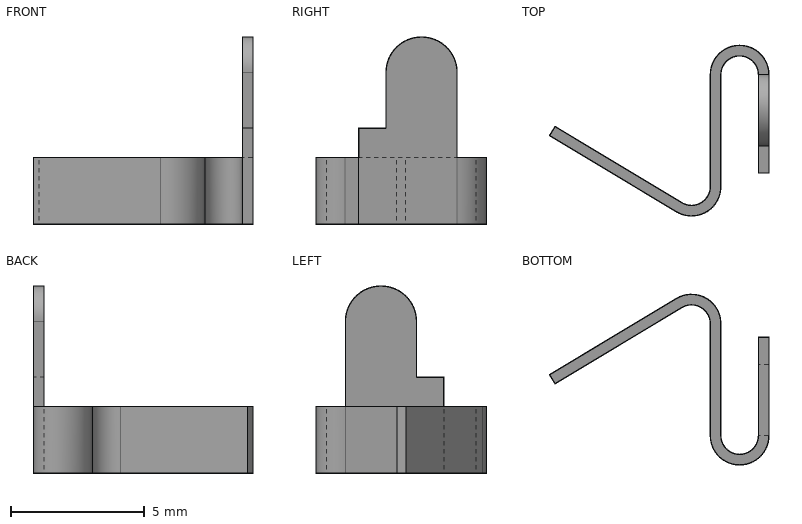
import cadquery as cq
import math

total_length = 8.2
thickness = 0.4
strip_height = 2.5
bend_radius = 1.1
web_length = 4.18
arm_angle = 31.0

plate_length = 3.68
plate_height = 3.6
tab_width = 2.665
tab_height = 7.0

inner_radius = bend_radius - thickness
upper_center_x = total_length - bend_radius
plate_inner_x = total_length - thickness
web_left_x = total_length - 2 * bend_radius
web_right_x = web_left_x + thickness
lower_center_x = web_right_x - bend_radius
lower_center_y = -web_length

angle = math.radians(arm_angle)
arm_x, arm_y = -math.cos(angle), math.sin(angle)
outward_x, outward_y = -math.sin(angle), -math.cos(angle)
arm_length = (lower_center_x + bend_radius * outward_x) / math.cos(angle)


def arm_point(radius, distance):
    """Point on the arm face tangent to the lower bend at the given radius."""
    return (
        lower_center_x + radius * outward_x + distance * arm_x,
        lower_center_y + radius * outward_y + distance * arm_y,
    )


def lower_bend_middle(radius):
    """Middle point of the lower bend, between the web and the arm."""
    middle = math.atan2(outward_y, outward_x) / 2
    return (
        lower_center_x + radius * math.cos(middle),
        lower_center_y + radius * math.sin(middle),
    )


def make_strip():
    """Bent strip: arm, lower bend, web and upper bend."""
    return (
        cq.Workplane("XY")
        .moveTo(total_length, 0)
        .threePointArc((upper_center_x, bend_radius), (web_left_x, 0))
        .lineTo(web_left_x, lower_center_y)
        .threePointArc(lower_bend_middle(inner_radius), arm_point(inner_radius, 0))
        .lineTo(*arm_point(inner_radius, arm_length))
        .lineTo(*arm_point(bend_radius, arm_length))
        .lineTo(*arm_point(bend_radius, 0))
        .threePointArc(lower_bend_middle(bend_radius), (web_right_x, lower_center_y))
        .lineTo(web_right_x, 0)
        .threePointArc((upper_center_x, inner_radius), (plate_inner_x, 0))
        .close()
        .extrude(strip_height)
    )


def make_plate():
    """Upright plate with a stepped side and a round-ended tab."""
    tab_radius = tab_width / 2
    shoulder_z = tab_height - tab_radius
    return (
        cq.Workplane("YZ", origin=(plate_inner_x, 0, 0))
        .lineTo(0, shoulder_z)
        .threePointArc((-tab_radius, tab_height), (-tab_width, shoulder_z))
        .lineTo(-tab_width, plate_height)
        .lineTo(-plate_length, plate_height)
        .lineTo(-plate_length, 0)
        .close()
        .extrude(thickness)
    )


result = make_strip().union(make_plate())